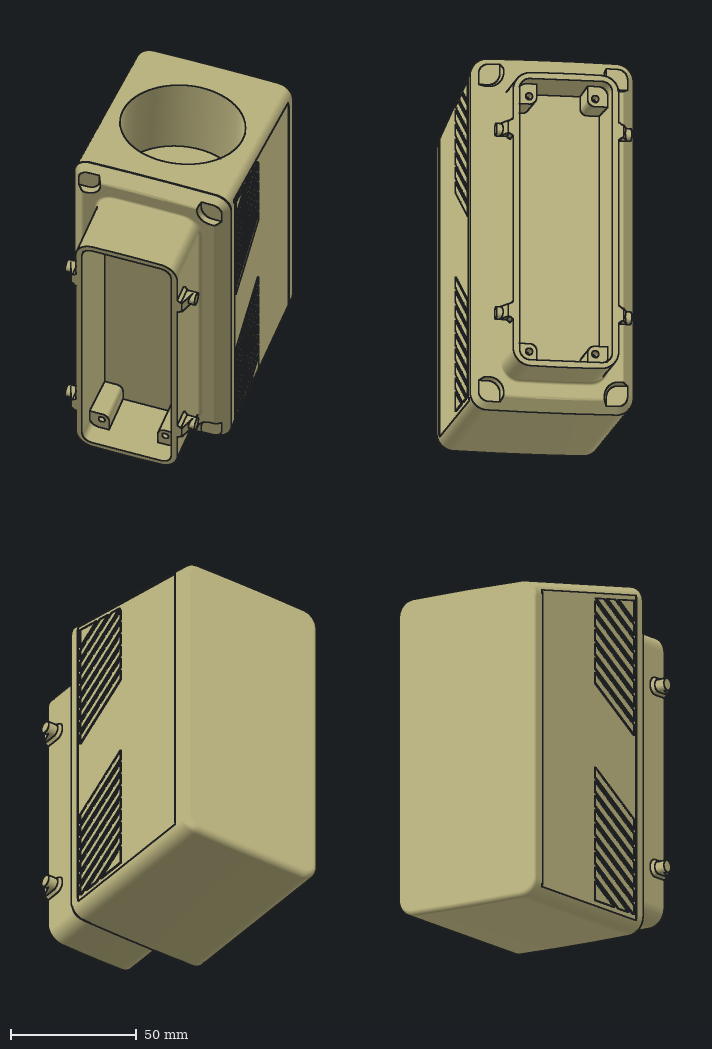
import cadquery as cq
import math


width = 66.0
height = 143.8
depth = 109.0
mid_z = height / 2
top_slope = 10.0
corner_radius = 6.9
back_radius = 2.7
crown = 0.5

bezel_front = 26.7
bezel_back = 32.0
bezel_bevel = 5.0
bezel_rounding = 1.7

pad_front = 28.9
pad_back = 33.5
pad_inset = 0.5
pad_chamfer = 0.5
pad_size = 11.5
pad_radius = 4.9
pad_arm_reach = 14.7
pad_arm_width = 2.6
notch_margin = 1.2

skirt_width = 42.7
skirt_height = 119.9
skirt_z = 71.5
skirt_radius = 7.2
skirt_wall = 2.6
skirt_root_radius = 1.5
cavity_depth = 25.3
cavity_radius = 4.3
cavity_draft = 1.8

post_front = 8.5
post_size = 8.5
post_radius = 2.9
post_hole_diameter = 2.7
post_hole_depth = 7.2
post_hole_x = 13.4
post_hole_z = 52.0

peg_z = 37.4
peg_y = 6.3
peg_radius = 2.52
peg_reach = 5.9
peg_base_radius = 3.6
peg_base_height = 1.51
ramp_low = 1.94
ramp_high = 4.3

entry_diameter = 50.0
entry_depth = 31.2
entry_y = 68.1

panel_recess = 0.5
panel_front = 36.1
panel_back = 101.9
stripe_front = 37.8
stripe_back = 65.1
stripe_bottom = 6.9
stripe_top_gap = 7.0
stripe_angle = 30.0
stripe_pitch = 5.86
stripe_height = 4.2
stripe_count = 9
end_stripe_height = 11.5
lower_stripe_top = 61.5
upper_stripe_bottom = 96.2


def front_plane(y, z=0.0):
    """Plane facing the front (-Y) with X to the right and Z up."""
    return cq.Workplane("XZ", origin=(0, y, z))


def crowned_prism(size_x, size_z, centre_z, y_front, y_back, radius):
    """Round-cornered bar along Y whose upper and lower faces bulge slightly."""
    half_x = size_x / 2
    half_z = size_z / 2
    shoulder = half_z - crown
    bar = (
        front_plane(y_front, centre_z)
        .moveTo(-half_x, -shoulder)
        .threePointArc((0, -half_z), (half_x, -shoulder))
        .lineTo(half_x, shoulder)
        .threePointArc((0, half_z), (-half_x, shoulder))
        .close()
        .extrude(y_front - y_back)
    )
    return bar.edges("|Y").fillet(radius)


def slope_z(y):
    """Height of the sloped top at depth y."""
    return height - (y - bezel_back) * math.tan(math.radians(top_slope))


def mirrored_in_x(shape):
    return shape.union(shape.mirror("YZ"))


def in_four_corners(shape, centre_z):
    pair = mirrored_in_x(shape)
    return pair.union(pair.mirror("XY", (0, 0, centre_z)))


def make_housing():
    upright = crowned_prism(width, 2 * height, height, bezel_back, depth, corner_radius)
    sloped = crowned_prism(width, 2 * height, 0, 0, 2 * depth, corner_radius)
    sloped = sloped.rotate((0, bezel_back, height), (1, bezel_back, height), -top_slope)
    return upright.intersect(sloped).faces(">Y").edges().fillet(back_radius)


def make_bezel():
    bezel = crowned_prism(width, height, mid_z, bezel_front, bezel_back, corner_radius)
    bezel = bezel.faces("<Y").edges().chamfer(bezel_bevel)
    return bezel.faces("<Y").edges().fillet(bezel_rounding)


def rounded_rectangle(size_x, size_z, radius):
    return cq.Sketch().rect(size_x, size_z).vertices().fillet(radius)


def corner_block(size, radius, y_front, y_back, flare=0.0):
    """Block over the upper right corner, rounded where it faces the middle, flaring to the front."""
    block = front_plane(y_back).center(width / 2, height)
    block = block.placeSketch(rounded_rectangle(2 * size, 2 * size, radius))
    return block.extrude(y_back - y_front, taper=-flare)


def make_notches():
    flare = math.degrees(math.atan(notch_margin / (pad_front - bezel_front)))
    notch = corner_block(pad_size, pad_radius, bezel_front, pad_front, flare)
    return in_four_corners(notch, mid_z)


def make_pads():
    pads = crowned_prism(
        width - 2 * pad_inset, height - 2 * pad_inset, mid_z,
        pad_front, pad_back, corner_radius - pad_inset,
    )
    pads = pads.faces("<Y").edges().chamfer(pad_chamfer)
    corner = corner_block(pad_size, pad_radius, pad_front, pad_back)
    arms = [(pad_arm_reach, pad_arm_width), (pad_arm_width, pad_arm_reach)]
    for reach_x, reach_z in arms:
        arm = (
            front_plane(pad_back)
            .center(width / 2, height)
            .rect(2 * reach_x, 2 * reach_z)
            .extrude(pad_back - pad_front)
        )
        corner = corner.union(arm)
    return pads.intersect(in_four_corners(corner, mid_z))


def add_skirt(bezel):
    """Bezel with the skirt in front of it and a fillet where they meet."""
    skirt = crowned_prism(skirt_width, skirt_height, skirt_z, 0, bezel_back, skirt_radius)
    half_x = skirt_width / 2 + skirt_root_radius
    half_z = skirt_height / 2 + skirt_root_radius
    around_root = cq.selectors.BoxSelector(
        (-half_x, bezel_front - skirt_root_radius, skirt_z - half_z),
        (half_x, bezel_front + skirt_root_radius, skirt_z + half_z),
        boundingbox=True,
    )
    return bezel.union(skirt).edges(around_root).fillet(skirt_root_radius)


def make_cavity():
    mouth = rounded_rectangle(skirt_width - 2 * skirt_wall, skirt_height - 2 * skirt_wall, cavity_radius)
    return front_plane(0, skirt_z).placeSketch(mouth).extrude(-cavity_depth, taper=cavity_draft)


def make_posts():
    """Posts standing on the cavity floor against its corners, each with a screw hole."""
    corner_x = skirt_width / 2 - skirt_wall
    corner_z = skirt_height / 2 - skirt_wall
    post = (
        front_plane(post_front, skirt_z)
        .center(corner_x, corner_z)
        .rect(2 * post_size, 2 * post_size)
        .extrude(post_front - bezel_back)
        .edges("|Y")
        .fillet(post_radius)
    )
    hole = (
        front_plane(post_front, skirt_z)
        .center(post_hole_x, post_hole_z)
        .circle(post_hole_diameter / 2)
        .extrude(-post_hole_depth)
    )
    return in_four_corners(post.cut(hole), skirt_z)


def make_peg():
    """Round peg on a tapered foot, with a ramp leading up to it from the rim."""
    wall_x = skirt_width / 2
    root_x = wall_x - skirt_wall / 2
    side = cq.Workplane("YZ", origin=(0, peg_y, skirt_z + peg_z))
    taper = math.degrees(math.atan((peg_base_radius - peg_radius) / peg_base_height))
    foot_length = 4 * peg_y
    foot = (
        side.workplane(offset=wall_x)
        .center(-foot_length / 2, 0)
        .slot2D(foot_length + 2 * peg_base_radius, 2 * peg_base_radius)
        .extrude(peg_base_height, taper=taper)
    )
    behind_rim = cq.Workplane().box(width, depth, height, centered=(True, False, False))
    pin = side.workplane(offset=root_x).circle(peg_radius)
    pin = pin.extrude(peg_reach + skirt_wall / 2)
    ramp = (
        cq.Workplane("XY", origin=(0, 0, skirt_z + peg_z - peg_radius))
        .moveTo(root_x, 0)
        .lineTo(wall_x + ramp_low, 0)
        .lineTo(wall_x + ramp_high, peg_y)
        .lineTo(root_x, peg_y)
        .close()
        .extrude(2 * peg_radius)
    )
    return foot.intersect(behind_rim).union(pin).union(ramp)


def make_cable_entry():
    """Blind round hole square to the sloped top."""
    pivot = (0, entry_y, slope_z(entry_y))
    floor = cq.Workplane(origin=(0, entry_y, slope_z(entry_y) - entry_depth))
    entry = floor.circle(entry_diameter / 2).extrude(2 * entry_depth)
    return entry.rotate(pivot, (1, pivot[1], pivot[2]), -top_slope)


def side_slab(points):
    """Slab of the recess depth at the +X side, outlined in Y and Z."""
    floor_x = width / 2 - panel_recess
    return cq.Workplane("YZ", origin=(floor_x, 0, 0)).polyline(points).close().extrude(panel_recess)


def make_panel():
    return side_slab([
        (panel_front, 0), (panel_back, 0), (panel_back, height), (panel_front, height),
    ])


def make_stripes():
    """Two groups of parallel slanted stripes, clipped to the field in the panel."""
    field = side_slab([
        (stripe_front, stripe_bottom),
        (stripe_back, stripe_bottom),
        (stripe_back, slope_z(stripe_back) - stripe_top_gap),
        (stripe_front, slope_z(stripe_front) - stripe_top_gap),
    ])
    drop = (stripe_back - stripe_front) * math.tan(math.radians(stripe_angle))
    stripes = cq.Workplane()
    for index in range(stripe_count):
        is_last = index == stripe_count - 1
        tall = end_stripe_height if is_last else stripe_height
        lower_top = lower_stripe_top - index * stripe_pitch
        upper_bottom = upper_stripe_bottom + index * stripe_pitch
        for bottom in (lower_top - tall, upper_bottom):
            top = bottom + tall
            stripes.add(side_slab([
                (stripe_back, bottom), (stripe_back, top),
                (stripe_front, top - drop), (stripe_front, bottom - drop),
            ]).intersect(field))
    return stripes.combine()


housing = make_housing().cut(mirrored_in_x(make_panel())).union(mirrored_in_x(make_stripes()))
body = add_skirt(make_bezel()).cut(make_notches())
result = body.union(housing).union(make_pads())
result = result.cut(make_cable_entry()).cut(make_cavity().cut(make_posts()))
result = result.union(in_four_corners(make_peg(), skirt_z))